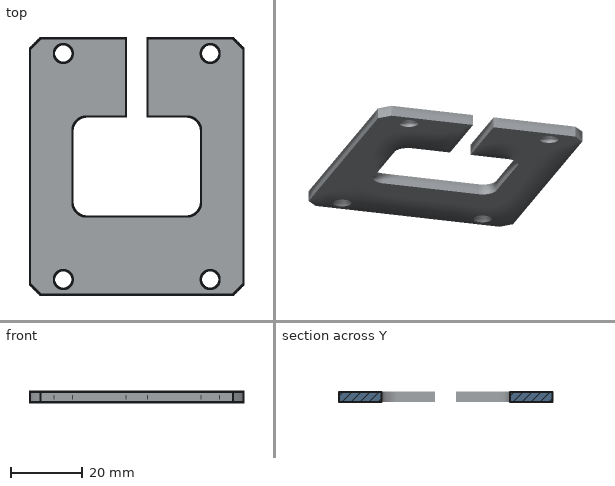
import cadquery as cq

PLATE_WIDTH = 60.0
PLATE_LENGTH = 72.0
PLATE_THICKNESS = 3.0
CORNER_CHAMFER = 3.0

WINDOW_WIDTH = 36.0
WINDOW_LENGTH = 28.0
WINDOW_CORNER_RADIUS = 4.0
SLOT_WIDTH = 6.0

HOLE_DIAMETER = 5.2
HOLE_SPACING_X = 41.2
HOLE_SPACING_Y = 63.4


def make_plate():
    """Flat rectangular plate, centred on the origin, with chamfered corners."""
    plate = cq.Workplane("XY").box(PLATE_WIDTH, PLATE_LENGTH, PLATE_THICKNESS)
    return plate.edges("|Z").chamfer(CORNER_CHAMFER)


def make_window():
    """Cutter for the rounded rectangular window through the plate."""
    window = cq.Workplane("XY").box(WINDOW_WIDTH, WINDOW_LENGTH, PLATE_THICKNESS)
    return window.edges("|Z").fillet(WINDOW_CORNER_RADIUS)


def make_slot():
    """Cutter for the slot from the plate centre, inside the window, to the +Y edge."""
    slot_length = PLATE_LENGTH / 2
    slot = cq.Workplane("XY").center(0, slot_length / 2)
    return slot.box(SLOT_WIDTH, slot_length, PLATE_THICKNESS)


def drill_mounting_holes(plate):
    """Drill one through hole near each corner of the plate."""
    hole_centres = plate.faces(">Z").workplane(origin=(0, 0, 0)).rarray(HOLE_SPACING_X, HOLE_SPACING_Y, 2, 2)
    return hole_centres.hole(HOLE_DIAMETER)


plate = drill_mounting_holes(make_plate())
result = plate.cut(make_window()).cut(make_slot())